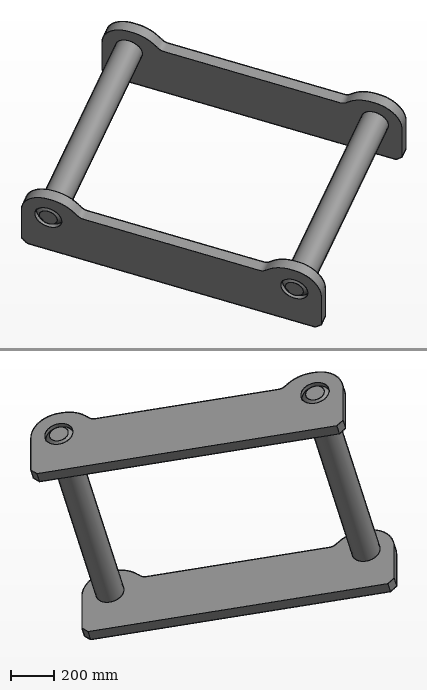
import cadquery as cq
import math

LENGTH = 1481.0
WIDTH = 1120.0
HEIGHT = 370.0

PLATE_THICKNESS = 55.0
EDGE_HEIGHT = 298.0
CORNER_CHAMFER = 30.0
EAR_RADIUS = 133.0
EAR_FLAT = 18.0
SHOULDER_RADIUS = 155.0
SLOPE_ANGLE = math.radians(43)
BLEND_RADIUS = 40.0

ROD_RADIUS = 67.0
ROD_CHAMFER = 22.0
ROD_X = LENGTH / 2 - EAR_RADIUS
ROD_Z = 235.0


def arc_step(radius, angle):
    """Inward and downward travel along an arc that starts level and turns by angle."""
    return radius * math.sin(angle), radius * (1 - math.cos(angle))


def plate_outline():
    """Plate profile in the XZ plane, drawn as its left half and mirrored about the middle."""
    left = -LENGTH / 2
    ear_x = left + EAR_RADIUS
    ear_z = HEIGHT - EAR_RADIUS
    quarter = EAR_RADIUS * math.sqrt(0.5)
    flat_end = ear_x + EAR_FLAT

    shoulder_mid_run, shoulder_mid_drop = arc_step(SHOULDER_RADIUS, SLOPE_ANGLE / 2)
    shoulder_run, shoulder_drop = arc_step(SHOULDER_RADIUS, SLOPE_ANGLE)
    slope_start = (flat_end + shoulder_run, HEIGHT - shoulder_drop)

    blend_mid_run, blend_mid_drop = arc_step(BLEND_RADIUS, SLOPE_ANGLE / 2)
    blend_run, blend_drop = arc_step(BLEND_RADIUS, SLOPE_ANGLE)
    slope_end_z = EDGE_HEIGHT + blend_drop
    slope_end_x = slope_start[0] + (slope_start[1] - slope_end_z) / math.tan(SLOPE_ANGLE)
    blend_end_x = slope_end_x + blend_run

    return (
        cq.Workplane("XZ")
        .moveTo(0, 0)
        .lineTo(left + CORNER_CHAMFER, 0)
        .lineTo(left, CORNER_CHAMFER)
        .lineTo(left, ear_z)
        .threePointArc((ear_x - quarter, ear_z + quarter), (ear_x, HEIGHT))
        .lineTo(flat_end, HEIGHT)
        .threePointArc((flat_end + shoulder_mid_run, HEIGHT - shoulder_mid_drop), slope_start)
        .lineTo(slope_end_x, slope_end_z)
        .threePointArc(
            (blend_end_x - blend_mid_run, EDGE_HEIGHT + blend_mid_drop),
            (blend_end_x, EDGE_HEIGHT),
        )
        .lineTo(0, EDGE_HEIGHT)
        .mirrorY()
    )


def cylinder_along_y(x, length):
    """Rod-sized cylinder at rod height, centred on Y = 0."""
    return (
        cq.Workplane("XZ", origin=(x, length / 2, ROD_Z))
        .circle(ROD_RADIUS)
        .extrude(length)
    )


def side_plate(y_center):
    """Plate centred on y_center, with a through hole for each rod."""
    plate = plate_outline().extrude(PLATE_THICKNESS).translate((0, PLATE_THICKNESS / 2, 0))
    for x in (-ROD_X, ROD_X):
        plate = plate.cut(cylinder_along_y(x, PLATE_THICKNESS))
    return plate.translate((0, y_center, 0))


def cross_rod(x):
    """Rod flush with the outer plate faces, chamfered at both ends."""
    return cylinder_along_y(x, WIDTH).faces("<Y or >Y").chamfer(ROD_CHAMFER)


plate_y = (WIDTH - PLATE_THICKNESS) / 2
side_plates = [side_plate(y).val() for y in (-plate_y, plate_y)]
cross_rods = [cross_rod(x).val() for x in (-ROD_X, ROD_X)]

result = cq.Compound.makeCompound([*side_plates, *cross_rods])